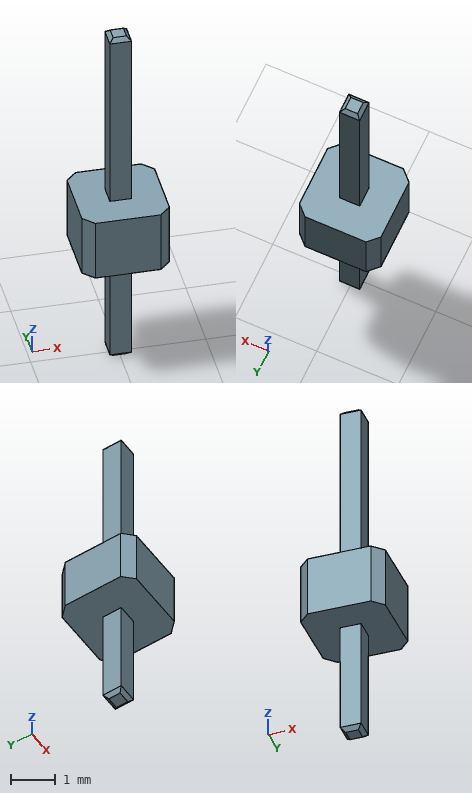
import cadquery as cq

body_width = 2.0
body_height = 1.5
total_length = 8.7

pin_width = 0.5
pin_below_body = 2.8
tip_chamfer = 0.1

corner_chamfer = 0.25


def make_body():
    """Square insulator with bevelled vertical edges, standing on Z = 0."""
    block = cq.Workplane("XY").rect(body_width, body_width).extrude(body_height)
    return block.edges("|Z").chamfer(corner_chamfer)


def make_pin():
    """Square pin through the body, tapered at both tips."""
    pin = (
        cq.Workplane("XY")
        .workplane(offset=-pin_below_body)
        .rect(pin_width, pin_width)
        .extrude(total_length)
    )
    return pin.faces("<Z or >Z").chamfer(tip_chamfer)


result = make_body().union(make_pin())